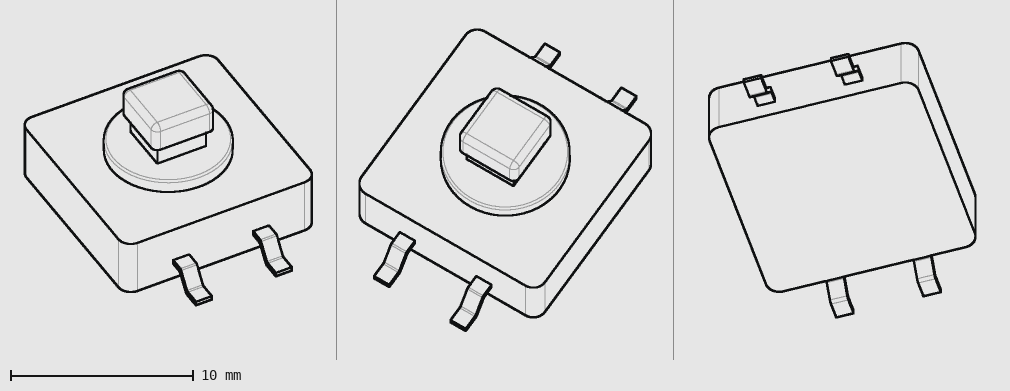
import cadquery as cq

body_side = 11.98
body_height = 3.5
body_corner_radius = 0.77

collar_diameter = 7.07
collar_height = 0.79
collar_edge_radius = 0.12

total_height = 7.3
stem_side = 3.05
cap_side = 3.81
cap_height = 1.7
cap_edge_radius = 0.38

lead_span = 17.17
lead_width = 1.0
lead_thickness = 0.25
lead_pitch = 5.0
shoulder_top = 1.3
shoulder_length = 0.88
foot_length = 0.98
slope_shift = 0.14
upper_bend_radius = 0.12
lower_bend_radius = 0.25


def make_housing():
    return (
        cq.Workplane("XY")
        .rect(body_side, body_side)
        .extrude(body_height)
        .edges("|Z")
        .fillet(body_corner_radius)
    )


def make_collar():
    return (
        cq.Workplane("XY", origin=(0, 0, body_height))
        .circle(collar_diameter / 2)
        .extrude(collar_height)
        .faces(">Z")
        .edges()
        .fillet(collar_edge_radius)
    )


def make_plunger():
    cap_bottom = total_height - cap_height
    stem = (
        cq.Workplane("XY", origin=(0, 0, body_height))
        .rect(stem_side, stem_side)
        .extrude(cap_bottom - body_height)
    )
    cap = (
        cq.Workplane("XY", origin=(0, 0, cap_bottom))
        .rect(cap_side, cap_side)
        .extrude(cap_height)
        .edges("|Z or >Z")
        .fillet(cap_edge_radius)
    )
    return stem.union(cap)


def make_lead(y):
    """Lead on the +X side, centred on the given Y."""
    wall = body_side / 2
    tip = lead_span / 2
    shoulder_end = wall + shoulder_length
    foot_start = tip - foot_length
    shoulder_bottom = shoulder_top - lead_thickness
    profile = [
        (wall, shoulder_top),
        (shoulder_end, shoulder_top),
        (foot_start, lead_thickness),
        (tip, lead_thickness),
        (tip, 0),
        (foot_start - slope_shift, 0),
        (shoulder_end - slope_shift, shoulder_bottom),
        (wall, shoulder_bottom),
    ]
    lead = (
        cq.Workplane("XZ", origin=(0, y + lead_width / 2, 0))
        .polyline(profile)
        .close()
        .extrude(lead_width)
    )
    bends = [
        (shoulder_end, shoulder_top, upper_bend_radius),
        (foot_start, lead_thickness, upper_bend_radius),
        (foot_start - slope_shift, 0, lower_bend_radius),
        (shoulder_end - slope_shift, shoulder_bottom, lower_bend_radius),
    ]
    for x, z, radius in bends:
        lead = lead.edges(cq.selectors.NearestToPointSelector((x, y, z))).fillet(radius)
    return lead


result = make_housing().union(make_collar()).union(make_plunger())
for lead_y in (-lead_pitch / 2, lead_pitch / 2):
    lead = make_lead(lead_y)
    result = result.union(lead).union(lead.mirror("YZ"))